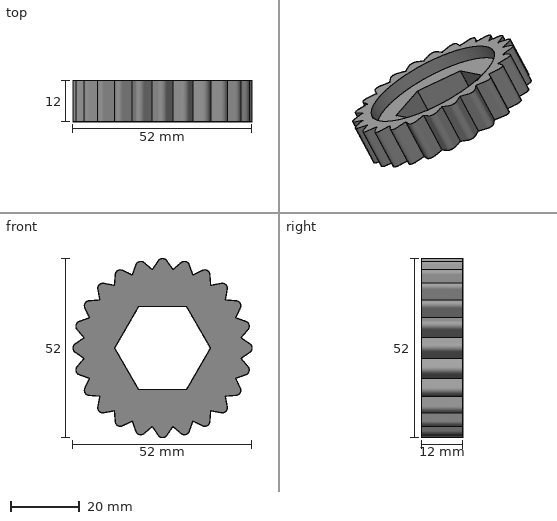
import cadquery as cq
import math

tooth_count = 24
tip_radius = 26.0
root_radius = 23.0
tip_round = 1.5
thickness = 12.0
hex_across_flats = 24.0
recess_diameter = 40.05
recess_depth = 4.0

tooth_pitch = 2 * math.pi / tooth_count


def polar(radius, angle):
    """Point at a radius and an angle measured from +Z toward +X."""
    return (radius * math.sin(angle), radius * math.cos(angle))


def rotated(x, z, angle):
    """Point of the upright tooth turned about the gear axis."""
    return polar(math.hypot(x, z), math.atan2(x, z) + angle)


def gear_blank():
    """Toothed disc: straight flanks meeting in sharp roots, rounded tips."""
    round_centre = tip_radius - tip_round
    root_x, root_z = polar(root_radius, tooth_pitch / 2)

    rise = round_centre - root_z
    flank = math.atan2(root_x, rise) - math.asin(tip_round / math.hypot(root_x, rise))
    tangent_x = tip_round * math.cos(flank)
    tangent_z = round_centre + tip_round * math.sin(flank)

    outline = cq.Workplane("XZ").moveTo(*polar(root_radius, -tooth_pitch / 2))
    for i in range(tooth_count):
        angle = i * tooth_pitch
        outline = (
            outline.lineTo(*rotated(-tangent_x, tangent_z, angle))
            .threePointArc(polar(tip_radius, angle), rotated(tangent_x, tangent_z, angle))
            .lineTo(*polar(root_radius, angle + tooth_pitch / 2))
        )
    return outline.close().extrude(thickness / 2, both=True)


def hex_bore():
    """Through bore with corners on the X axis."""
    across_corners = hex_across_flats / math.cos(math.pi / 6)
    return cq.Workplane("XZ").polygon(6, across_corners).extrude(thickness, both=True)


def back_recess():
    """Round recess opening on the +Y face, wider than the hexagonal bore."""
    recess = cq.Workplane("XZ", origin=(0, thickness / 2, 0))
    return recess.circle(recess_diameter / 2).extrude(recess_depth)


result = gear_blank().cut(hex_bore()).cut(back_recess())